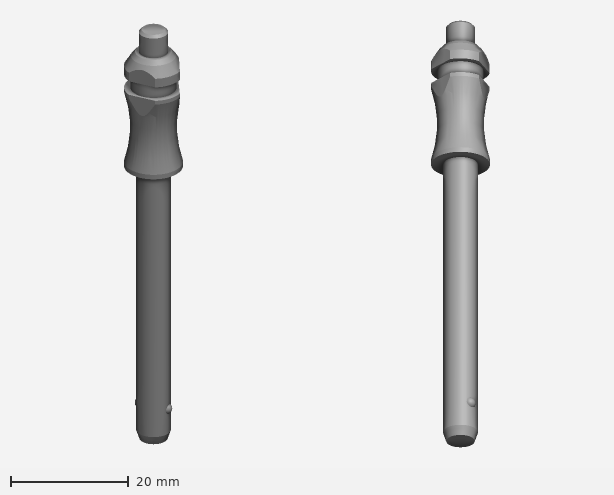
import cadquery as cq
import math

total_length = 78.2
handle_radius = 5.0
waist_radius = 4.0
groove_radius = 3.9
pin_radius = 3.0
pin_tip_radius = 2.4
button_radius = 2.5
button_chamfer = 0.5
cap_top_radius = 3.1
cap_shoulder_radius = 3.8

tip_height = 1.65
handle_bottom = 52.1
lower_rim_top = 52.95
groove_bottom = 67.1
upper_rim_bottom = 66.4
groove_top = 69.7
cap_cone_bottom = 71.3
cap_shoulder = 73.2
cap_top = 74.0
waist_height = (lower_rim_top + upper_rim_bottom) / 2

flat_count = 3
flat_distance = handle_radius * math.cos(math.pi / 6)
first_flat_angle = -90

ball_radius = 1.0
ball_reach = 3.45
ball_height = 6.2


def turned_body():
    """Pin, waisted handle, cap and push button as one revolved profile (radius, height)."""
    return (
        cq.Workplane("XZ")
        .moveTo(0, 0)
        .lineTo(pin_tip_radius, 0)
        .lineTo(pin_radius, tip_height)
        .lineTo(pin_radius, handle_bottom)
        .lineTo(handle_radius, handle_bottom)
        .lineTo(handle_radius, lower_rim_top)
        .threePointArc((waist_radius, waist_height), (handle_radius, upper_rim_bottom))
        .lineTo(handle_radius, groove_bottom)
        .lineTo(groove_radius, groove_bottom)
        .lineTo(groove_radius, groove_top)
        .lineTo(handle_radius, groove_top)
        .lineTo(handle_radius, cap_cone_bottom)
        .lineTo(cap_shoulder_radius, cap_shoulder)
        .lineTo(cap_top_radius, cap_top)
        .lineTo(button_radius, cap_top)
        .lineTo(button_radius, total_length - button_chamfer)
        .lineTo(button_radius - button_chamfer, total_length)
        .lineTo(0, total_length)
        .close()
        .revolve(360, (0, 0), (0, 1))
    )


def flat_cutter(angle):
    """Block outside one flat, reaching from the waist to the top of the cap."""
    return (
        cq.Workplane("XY", origin=(0, 0, waist_height))
        .center(flat_distance, 0)
        .box(handle_radius, 2 * handle_radius, cap_top - waist_height, centered=(False, True, False))
        .rotate((0, 0, 0), (0, 0, 1), angle)
    )


def locking_ball(side):
    """Ball partly sunk in the pin on the given side of X."""
    center_x = side * (ball_reach - ball_radius)
    return cq.Workplane("XY").sphere(ball_radius).translate((center_x, 0, ball_height))


result = turned_body()

for index in range(flat_count):
    result = result.cut(flat_cutter(first_flat_angle + index * 360 / flat_count))

for side in (-1, 1):
    result = result.union(locking_ball(side))